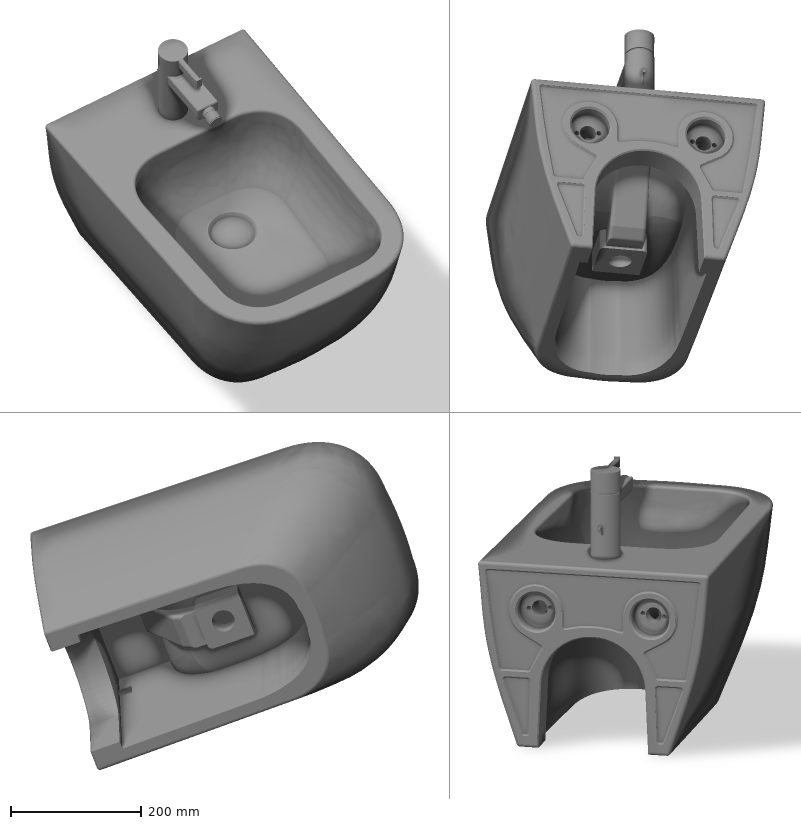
import cadquery as cq
import math


TOTAL_HEIGHT = 428.78
DECK_HEIGHT = 290.6
EDGE_ROUND = 5.0
FRONT_FLAT_SHARE = 0.33
FRONT_BULGE = 3.0
SIDE_TAPER = 0.97
CORNER_PULL = 0.62

OUTER_SECTIONS = [
    (0.0, 120.0, 312.0, 404.0),
    (66.0, 142.6, 347.0, 453.5),
    (123.0, 160.0, 374.0, 487.5),
    (180.0, 172.0, 394.0, 513.0),
    (236.0, 178.0, 405.0, 530.0),
    (DECK_HEIGHT, 183.3, 414.0, 542.0),
]

BACK_WALL = 48.0
HOLLOW_TOP = 270.0
HOLLOW_FRONT_HALF = 22.5
HOLLOW_SECTIONS = [
    (0.0, 99.0, 260.0, 384.0),
    (HOLLOW_TOP, 84.0, 255.0, 378.0),
]

BOWL_FLOOR = 169.0
BOWL_FOOT = 181.0
BOWL_WALL = 11.0
BOWL_RIM = (DECK_HEIGHT, 146.0, 502.5, 142.5, 138.5, 78.0, 72.0)
BOWL_MIDDLE = (230.0, 153.0, 495.0, 134.0, 126.0, 78.0, 84.0)
BOWL_BASE = (BOWL_FOOT, 191.0, 449.0, 93.0, 85.0, 64.0, 82.0)
BOWL_SECTIONS = [BOWL_RIM, BOWL_MIDDLE, BOWL_BASE]
BOWL_ROUND = 4.0

DRAIN_X = 250.0
DRAIN_MOUTH_DIAMETER = 76.0
DRAIN_RING_DIAMETER = 66.0
PLUG_DIAMETER = 60.0
OUTLET_DIAMETER = 44.0
OUTLET_BORE = 35.0
DRAIN_CORNER_SHARE = 0.97
DRAIN_MOUTH_DEPTH = 6.0
DRAIN_RING_HEIGHT = 8.0
PLUG_THICKNESS = 4.0
PLUG_CROWN = 3.0
OUTLET_BLOCK_SIZE = 74.0
OUTLET_BLOCK_BOTTOM = 125.0
OUTLET_BLOCK_ROUND = 8.0
DUCT_WIDTH = 56.0
DUCT_BOTTOM = 129.0
DUCT_BACK = 175.0
DUCT_TOP_BACK = 115.0
DUCT_SLOPE = 14.0
DUCT_ROUND = 6.0

ARCH_RADIUS = 82.5
ARCH_SPRING_HEIGHT = 98.0
ARCH_FOOT_HALF_WIDTH = 87.0
ARCH_BEVEL = 2.0
MOUNT_SPACING = 180.0
MOUNT_HEIGHT = 216.0
MOUNT_RING_RADIUS = 41.0
MOUNT_RECESS_DIAMETER = 60.0
MOUNT_RECESS_DEPTH = 25.0
MOUNT_RECESS_CHAMFER = 3.0
MOUNT_HOLE_DIAMETER = 25.0
MOUNT_HOLE_OVERRUN = 20.0
MOUNT_RECESS_ROUND = 4.0
LOBE_DIAMETER = 8.0
LOBE_RADIUS = 17.0
LOBE_ANGLE = 5.0
POCKET_DEPTH = 3.0
POCKET_BEVEL = 2.5
POCKET_CORNER = 5.0

TAP_X = 81.7
TAP_DIAMETER = 46.0
NECK_DIAMETER = 42.0
TAP_BODY_TOP = 392.0
CAP_TOP = 427.0
CAP_GAP = 4.0
SPOUT_END = 181.0
SPOUT_WIDTH = 37.6
SPOUT_HEIGHT = 26.0
SPOUT_ROUND = 9.5
SPOUT_EDGE = 1.5
LEVER_END = 156.0
LEVER_WIDTH = 9.0
LEVER_BOTTOM = 412.5
LEVER_EDGE = 2.0
LEVER_LIP = 3.5
JOINT_DIAMETER = 21.33
JOINT_COLLAR_DIAMETER = 20.15
NOZZLE_GROOVE_DIAMETER = 21.15
NOZZLE_DIAMETER = 23.15
NOZZLE_TILT = 8.5
ROD_DIAMETER = 4.0
ROD_END = 40.0
ROD_STRAIGHT = 7.0
ROD_HEIGHT = 343.6
ROD_BEND = 8.0
ROD_BEND_ANGLE = 60.0
ROD_SLOPE_LENGTH = 12.0


def d_outline(height, half_width, side, length, front_half, back):
    """D-shaped horizontal wire: straight back, tapering sides, rounded corners, bowed front."""
    side_half = half_width * SIDE_TAPER
    front = length - FRONT_BULGE
    side_pull = CORNER_PULL * (front - side)
    front_pull = CORNER_PULL * (side_half - front_half)
    return (
        cq.Workplane("XY", origin=(0, 0, height))
        .moveTo(back, -half_width)
        .lineTo(side, -side_half)
        .bezier([(side, -side_half), (side + side_pull, -side_half),
                 (front, -front_half - front_pull), (front, -front_half)])
        .threePointArc((length, 0), (front, front_half))
        .bezier([(front, front_half), (front, front_half + front_pull),
                 (side + side_pull, side_half), (side, side_half)])
        .lineTo(back, half_width)
        .close()
        .val()
    )


def outer_skin():
    wires = []
    for height, half_width, side, length in OUTER_SECTIONS:
        front_half = half_width * FRONT_FLAT_SHARE
        wires.append(d_outline(height, half_width, side, length, front_half, back=0.0))
    skin = cq.Workplane(cq.Solid.makeLoft(wires))
    return skin.faces(">Z or <Z or <X").edges().fillet(EDGE_ROUND)


def bowl_outline(height, rear, front, rear_half, front_half, rear_corner, front_corner):
    """Horizontal outline, a little narrower in front, with Bezier corners."""
    rear_pull = rear_corner * (1 - CORNER_PULL)
    front_pull = front_corner * (1 - CORNER_PULL)
    wire = cq.Workplane("XY", origin=(0, 0, height)).moveTo(rear + rear_corner, -rear_half)
    wire = wire.lineTo(front - front_corner, -front_half)
    wire = wire.bezier([(front - front_corner, -front_half), (front - front_pull, -front_half),
                        (front, -front_half + front_pull), (front, -front_half + front_corner)])
    wire = wire.lineTo(front, front_half - front_corner)
    wire = wire.bezier([(front, front_half - front_corner), (front, front_half - front_pull),
                        (front - front_pull, front_half), (front - front_corner, front_half)])
    wire = wire.lineTo(rear + rear_corner, rear_half)
    wire = wire.bezier([(rear + rear_corner, rear_half), (rear + rear_pull, rear_half),
                        (rear, rear_half - rear_pull), (rear, rear_half - rear_corner)])
    wire = wire.lineTo(rear, -rear_half + rear_corner)
    wire = wire.bezier([(rear, -rear_half + rear_corner), (rear, -rear_half + rear_pull),
                        (rear + rear_pull, -rear_half), (rear + rear_corner, -rear_half)])
    return wire.close().val()


def bowl_solid(wall=0.0):
    """The bowl's inside, or with a wall the inside grown outward and downward by it."""
    wires = []
    for height, rear, front, rear_half, front_half, rear_corner, front_corner in BOWL_SECTIONS:
        drop = 0.0 if height == DECK_HEIGHT else wall
        wires.append(bowl_outline(height - drop, rear - wall, front + wall,
                                  rear_half + wall, front_half + wall, rear_corner, front_corner))
    mouth_radius = DRAIN_MOUTH_DIAMETER / 2 + wall
    mouth_corner = mouth_radius * DRAIN_CORNER_SHARE
    mouth = bowl_outline(BOWL_FLOOR - wall, DRAIN_X - mouth_radius, DRAIN_X + mouth_radius,
                         mouth_radius, mouth_radius, mouth_corner, mouth_corner)
    walls = cq.Workplane(cq.Solid.makeLoft(wires))
    floor = cq.Workplane(cq.Solid.makeLoft([wires[-1], mouth], True))
    return walls.union(floor)


def underside_hollow():
    """Space below the deck, left clear of the bowl, its outlet block and its overflow duct."""
    wires = [d_outline(*section, HOLLOW_FRONT_HALF, BACK_WALL) for section in HOLLOW_SECTIONS]
    hollow = cq.Workplane(cq.Solid.makeLoft(wires))

    block_height = BOWL_FLOOR - OUTLET_BLOCK_BOTTOM
    block = (
        cq.Workplane("XY", origin=(DRAIN_X, 0, OUTLET_BLOCK_BOTTOM))
        .rect(OUTLET_BLOCK_SIZE, OUTLET_BLOCK_SIZE)
        .extrude(block_height)
        .edges("|Z and <X").fillet(OUTLET_BLOCK_ROUND)
    )
    duct = (
        cq.Workplane("XZ")
        .moveTo(DRAIN_X, DUCT_BOTTOM)
        .lineTo(DUCT_BACK + DUCT_SLOPE, DUCT_BOTTOM)
        .lineTo(DUCT_BACK, DUCT_BOTTOM + DUCT_SLOPE)
        .lineTo(DUCT_TOP_BACK, HOLLOW_TOP)
        .lineTo(DRAIN_X, HOLLOW_TOP)
        .close()
        .extrude(DUCT_WIDTH / 2, both=True)
    )
    duct_back = cq.selectors.BoxSelector((0, -DUCT_WIDTH, 0),
                                         (DUCT_BACK + DUCT_SLOPE + 1, DUCT_WIDTH, HOLLOW_TOP - 1))
    duct = duct.edges(duct_back).fillet(DUCT_ROUND)
    return hollow.cut(bowl_solid(BOWL_WALL)).cut(block).cut(duct)


def back_plane():
    """Sketch plane on the back face: local x is Y, local y is Z, normal is +X."""
    return cq.Workplane("YZ")


def arch_outline(grow=0.0):
    radius = ARCH_RADIUS + grow
    foot = ARCH_FOOT_HALF_WIDTH + grow
    return (
        back_plane()
        .moveTo(-foot, -grow)
        .lineTo(-radius, ARCH_SPRING_HEIGHT)
        .threePointArc((0, ARCH_SPRING_HEIGHT + radius), (radius, ARCH_SPRING_HEIGHT))
        .lineTo(foot, -grow)
        .close()
    )


def arch_opening():
    """Arch through the back wall with a bevelled mouth."""
    mouth = arch_outline(ARCH_BEVEL).extrude(ARCH_BEVEL, taper=45)
    return arch_outline().extrude(BACK_WALL).union(mouth)


def mount_hole(side):
    """Stepped fixing hole with two small lobes beside it; side is +1 or -1."""
    centre = (0, side * MOUNT_SPACING / 2, MOUNT_HEIGHT)
    plane = cq.Workplane("YZ", origin=centre)
    recess = (
        plane.circle(MOUNT_RECESS_DIAMETER / 2)
        .extrude(MOUNT_RECESS_DEPTH)
        .faces(">X").edges().fillet(MOUNT_RECESS_ROUND)
    )
    mouth = cq.Workplane(cq.Solid.makeCone(
        MOUNT_RECESS_DIAMETER / 2 + MOUNT_RECESS_CHAMFER, MOUNT_RECESS_DIAMETER / 2, MOUNT_RECESS_CHAMFER,
        cq.Vector(*centre), cq.Vector(1, 0, 0)))
    bore = plane.circle(MOUNT_HOLE_DIAMETER / 2).extrude(BACK_WALL + MOUNT_HOLE_OVERRUN)
    lobes = (
        plane.transformed(rotate=(0, 0, -side * LOBE_ANGLE))
        .pushPoints([(-LOBE_RADIUS, 0), (LOBE_RADIUS, 0)])
        .circle(LOBE_DIAMETER / 2)
        .extrude(BACK_WALL)
    )
    return recess.union(mouth).union(bore).union(lobes)


def upper_pocket():
    """Shallow pocket of the back face around the two fixing rings and the arch web."""
    top, bottom = 280.0, 119.5
    top_half, middle_half, bottom_half = 171.0, 161.5, 148.0
    middle = (top + bottom) / 2
    sheet = (
        back_plane()
        .moveTo(-top_half, top)
        .lineTo(top_half, top)
        .threePointArc((middle_half, middle), (bottom_half, bottom))
        .lineTo(-bottom_half, bottom)
        .threePointArc((-middle_half, middle), (-top_half, top))
        .close()
        .extrude(POCKET_DEPTH)
    )
    mount_y = MOUNT_SPACING / 2
    ring_inner = mount_y - MOUNT_RING_RADIUS
    foot = (100.0, bottom)
    knee = (78.0, 162.0)
    knee_reach = math.hypot(knee[0] - mount_y, knee[1] - MOUNT_HEIGHT)
    knee_angle = math.atan2(knee[1] - MOUNT_HEIGHT, knee[0] - mount_y)
    tangent_angle = knee_angle + math.acos(MOUNT_RING_RADIUS / knee_reach)
    ring_tangent = (mount_y + MOUNT_RING_RADIUS * math.cos(tangent_angle),
                    MOUNT_HEIGHT + MOUNT_RING_RADIUS * math.sin(tangent_angle))
    shoulder_height = 188.5
    crown_height = 196.5
    right_half = [foot, knee, ring_tangent, (mount_y, MOUNT_HEIGHT),
                  (ring_inner, MOUNT_HEIGHT), (ring_inner, shoulder_height)]
    left_half = [(-y, z) for y, z in reversed(right_half)]
    web = (
        back_plane()
        .polyline(right_half)
        .threePointArc((0, crown_height), left_half[0])
        .polyline(left_half[1:], includeCurrent=True)
        .close()
        .extrude(POCKET_DEPTH)
    )
    rings = (
        back_plane()
        .pushPoints([(-mount_y, MOUNT_HEIGHT), (mount_y, MOUNT_HEIGHT)])
        .circle(MOUNT_RING_RADIUS)
        .extrude(POCKET_DEPTH)
    )
    return bevelled(sheet.cut(web.union(rings)))


def leg_pocket(side):
    """Shallow pocket, narrowing downward, in one leg of the back face."""
    corners = [(145.0, 111.0), (98.0, 111.0), (101.0, 18.0), (111.5, 18.0)]
    sheet = back_plane().polyline([(side * y, z) for y, z in corners]).close().extrude(POCKET_DEPTH)
    return bevelled(sheet)


def bevelled(pocket):
    """Rounds the corners of a back-face pocket and slopes its walls."""
    return pocket.edges("|X").fillet(POCKET_CORNER).faces(">X").chamfer(POCKET_BEVEL)


def ring_of_profile(points):
    """Solid of revolution about the outlet's upright axis from (radius, height) points."""
    return (
        cq.Workplane("XZ", origin=(DRAIN_X, 0, 0))
        .polyline(points)
        .close()
        .revolve(360, (0, 0, 0), (0, 1, 0))
    )


RING_TOP = BOWL_FLOOR - DRAIN_MOUTH_DEPTH
RING_BOTTOM = RING_TOP - DRAIN_RING_HEIGHT


def drain_opening():
    return ring_of_profile([
        (0, OUTLET_BLOCK_BOTTOM),
        (OUTLET_DIAMETER / 2, OUTLET_BLOCK_BOTTOM),
        (OUTLET_DIAMETER / 2, RING_BOTTOM),
        (DRAIN_RING_DIAMETER / 2, RING_BOTTOM),
        (DRAIN_RING_DIAMETER / 2, RING_TOP),
        (DRAIN_MOUTH_DIAMETER / 2, BOWL_FLOOR),
        (0, BOWL_FLOOR),
    ])


def make_ceramic():
    body = outer_skin().cut(bowl_solid())
    inside_deck = cq.selectors.BoxSelector((DUCT_TOP_BACK, -BOWL_RIM[3] - 1, DECK_HEIGHT - 1),
                                           (BOWL_RIM[2] + 1, BOWL_RIM[3] + 1, DECK_HEIGHT + 1))
    body = body.faces(">Z").edges(inside_deck).fillet(BOWL_ROUND)
    body = body.cut(underside_hollow()).cut(arch_opening()).cut(drain_opening())
    for side in (-1, 1):
        body = body.cut(mount_hole(side)).cut(leg_pocket(side))
    return body.cut(upper_pocket())


def make_drain_ring():
    return ring_of_profile([
        (OUTLET_BORE / 2, OUTLET_BLOCK_BOTTOM),
        (OUTLET_DIAMETER / 2, OUTLET_BLOCK_BOTTOM),
        (OUTLET_DIAMETER / 2, RING_BOTTOM),
        (DRAIN_RING_DIAMETER / 2, RING_BOTTOM),
        (DRAIN_RING_DIAMETER / 2, RING_TOP),
        (PLUG_DIAMETER / 2, RING_TOP),
        (PLUG_DIAMETER / 2, RING_TOP - PLUG_THICKNESS),
        (OUTLET_BORE / 2, RING_TOP - PLUG_THICKNESS),
    ])


def make_plug():
    """Domed disc lying in the ring."""
    bottom = RING_TOP - PLUG_THICKNESS
    radius = PLUG_DIAMETER / 2
    crown = RING_TOP + PLUG_CROWN
    sphere = (radius ** 2 + PLUG_CROWN ** 2) / (2 * PLUG_CROWN)
    mid_radius = radius / 2
    mid_height = crown - sphere + math.sqrt(sphere ** 2 - mid_radius ** 2)
    return (
        cq.Workplane("XZ", origin=(DRAIN_X, 0, 0))
        .moveTo(0, bottom)
        .lineTo(radius, bottom)
        .lineTo(radius, RING_TOP)
        .threePointArc((mid_radius, mid_height), (0, crown))
        .close()
        .revolve(360, (0, 0, 0), (0, 1, 0))
    )


def tap_cylinder(diameter, bottom, top):
    return cq.Workplane("XY", origin=(TAP_X, 0, bottom)).circle(diameter / 2).extrude(top - bottom)


def make_tap_body():
    """Column with a thinner neck below the cap, and the spout reaching over the bowl."""
    column = tap_cylinder(TAP_DIAMETER, DECK_HEIGHT, TAP_BODY_TOP)
    neck = tap_cylinder(NECK_DIAMETER, TAP_BODY_TOP, TAP_BODY_TOP + CAP_GAP)
    length = SPOUT_END - TAP_X
    spout = (
        cq.Workplane("YZ", origin=(TAP_X, 0, TAP_BODY_TOP - SPOUT_HEIGHT / 2))
        .rect(SPOUT_WIDTH, SPOUT_HEIGHT)
        .extrude(length)
        .edges("|X and <Z").fillet(SPOUT_ROUND)
        .edges("|X and >Z").chamfer(SPOUT_EDGE)
        .faces(">X").edges().chamfer(SPOUT_EDGE)
    )
    return column.union(spout).union(neck)


def make_handle():
    """Cap with a slanted cut at its lower back, and a flat lever ending in a raised lip."""
    cap = tap_cylinder(TAP_DIAMETER, TAP_BODY_TOP, CAP_TOP)
    back = TAP_X - TAP_DIAMETER / 2
    gap = (
        cq.Workplane("XZ")
        .polyline([(back, TAP_BODY_TOP), (TAP_X, TAP_BODY_TOP), (back, TAP_BODY_TOP + CAP_GAP)])
        .close()
        .extrude(TAP_DIAMETER / 2, both=True)
    )
    neck_seat = tap_cylinder(NECK_DIAMETER, TAP_BODY_TOP, TAP_BODY_TOP + CAP_GAP)
    lever_length = LEVER_END - TAP_X
    lever = (
        cq.Workplane("YZ", origin=(TAP_X, 0, (LEVER_BOTTOM + CAP_TOP) / 2))
        .rect(LEVER_WIDTH, CAP_TOP - LEVER_BOTTOM)
        .extrude(lever_length)
        .edges("|X and >Z").chamfer(LEVER_EDGE)
    )
    lip = (
        cq.Workplane("XY", origin=(LEVER_END - LEVER_LIP / 2, 0, LEVER_BOTTOM))
        .rect(LEVER_LIP, LEVER_WIDTH)
        .extrude(TOTAL_HEIGHT - LEVER_BOTTOM)
    )
    return cap.union(lever).union(lip).cut(gap).cut(neck_seat)


def tilted_profile(points):
    """Solid of revolution about the tilted nozzle axis from (distance, radius) points."""
    axis_height = TAP_BODY_TOP - SPOUT_HEIGHT / 2
    solid = cq.Workplane("XY").polyline(points).close().revolve(360, (0, 0, 0), (1, 0, 0))
    return solid.rotate((0, 0, 0), (0, 1, 0), NOZZLE_TILT).translate((SPOUT_END, 0, axis_height))


JOINT_LENGTH = 10.0
NOZZLE_LENGTH = 22.7
NOZZLE_LIP = 1.5


def make_joint():
    """Swivel between spout and nozzle; its back end is trimmed to the spout's end face."""
    radius = JOINT_DIAMETER / 2
    collar = JOINT_COLLAR_DIAMETER / 2
    reach = JOINT_DIAMETER / 4
    joint = tilted_profile([(-reach, 0), (-reach, radius), (reach, radius), (reach, collar),
                            (JOINT_LENGTH, collar), (JOINT_LENGTH, 0)])
    behind = cq.Workplane("XY").box(JOINT_DIAMETER, TAP_DIAMETER, TOTAL_HEIGHT, centered=(True, True, False))
    return joint.cut(behind.translate((SPOUT_END - JOINT_DIAMETER / 2, 0, 0)))


def make_nozzle():
    groove = NOZZLE_GROOVE_DIAMETER / 2
    radius = NOZZLE_DIAMETER / 2
    lip_start = NOZZLE_LENGTH - NOZZLE_LIP
    return tilted_profile([(JOINT_LENGTH, 0), (JOINT_LENGTH, radius), (lip_start, radius), (lip_start, groove),
                           (NOZZLE_LENGTH, groove), (NOZZLE_LENGTH, 0)])


def make_pull_rod():
    """Lift rod behind the tap: level at its end, then bent down to the column."""
    bend_start = ROD_END + ROD_STRAIGHT

    def on_bend(angle):
        turn = math.radians(angle)
        return (bend_start + ROD_BEND * math.sin(turn), ROD_HEIGHT - ROD_BEND * (1 - math.cos(turn)))

    slope = math.radians(ROD_BEND_ANGLE)
    bend_end_x, bend_end_height = on_bend(ROD_BEND_ANGLE)
    rod_tip = (bend_end_x + ROD_SLOPE_LENGTH * math.cos(slope),
               bend_end_height - ROD_SLOPE_LENGTH * math.sin(slope))
    path = (
        cq.Workplane("XZ")
        .moveTo(ROD_END, ROD_HEIGHT)
        .lineTo(bend_start, ROD_HEIGHT)
        .threePointArc(on_bend(ROD_BEND_ANGLE / 2), on_bend(ROD_BEND_ANGLE))
        .lineTo(*rod_tip)
    )
    rod = cq.Workplane("YZ", origin=(ROD_END, 0, ROD_HEIGHT)).circle(ROD_DIAMETER / 2).sweep(path)
    return rod.cut(tap_cylinder(TAP_DIAMETER, DECK_HEIGHT, TAP_BODY_TOP))


ceramic = make_ceramic()
drain_ring = make_drain_ring()
plug = make_plug()
tap_body = make_tap_body()
handle = make_handle()
joint = make_joint()
nozzle = make_nozzle()
pull_rod = make_pull_rod()

bodies = [ceramic, drain_ring, plug, tap_body, handle, joint, nozzle, pull_rod]
result = cq.Compound.makeCompound([body.val() for body in bodies])